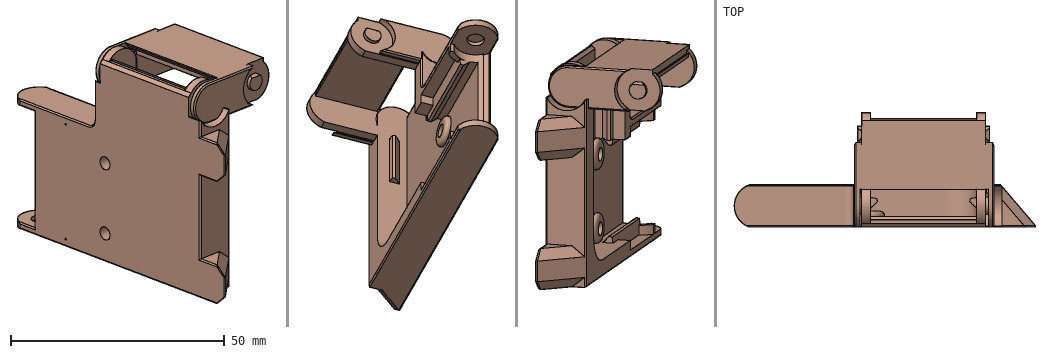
import cadquery as cq
DEPTH = 9.95
HALF = DEPTH / 2
SHEET = 1.7
LINER = 2.1
LINER_GAP = 0.2
PAD = 0.85
PAD_RISE = 0.4
EDGE = 0.35
KNUCKLE_R = 5.2
CLEARANCE_R = KNUCKLE_R + 0.1
PIN_D = 4.1
LINER_START = 3.05
PLATE_START = 3.3
UNDERCUT = 1.1
EDGE_LAND = 0.35

BASE_RIGHT = 62.8
BASE_LENGTH = 70.6
LUG_TOP = 33.05
SHOULDER_Z = 45.0
NECK_LEFT = 28.0
CORNER_R = 2.0
LUG_X = KNUCKLE_R
PIVOT_Z = 47.5
KNUCKLE_LEFT = 29.9
KNUCKLE_RIGHT = 59.0
PLATE_TOP = PIVOT_Z + 3.25
PLATE_BEVEL = 0.85
PAD_BEVEL = 0.8
FLOOR_R = 7.05
LUG_HOLE_DEPTH = 1.05

WEDGE_HEIGHT = 9.9
WEDGE_BOTTOMS = (0.0, 31.1)
WEDGE_TIP = 0.4
WEDGE_BEVEL_Z = 2.5
WEDGE_BEVEL_X = 2.7

SCREW_X = 31.5
SCREW_ZS = (7.2, 25.1)
SCREW_D = 3.25
BOSS_D = 7.5
BOSS_TOP = 3.75
BOSS_ROUND = 1.0
MARK_X = 18.6
MARK_D = 0.35

LINK_LEFT = NECK_LEFT + 0.2
LINK_RIGHT = 60.95
LINK_TIP_Y = 21.7
LINK_OPENING_Y = 8.9
LINK_SHEET = 1.35
LINK_TOP = PIVOT_Z + HALF
LINK_BOTTOM = PIVOT_Z - HALF
STUB_LENGTH = 0.9
STUB_STEP = 0.15
STUB_BEVEL = 0.65

RAIL_HEIGHT = 1.6
RAIL_WIDTH = 2.55
RIM = 1.4
RAIL_CREST = 0.9
RAIL_NOSE = 0.2
RAIL_SHIFT = 0.6

LINER_LEFT = KNUCKLE_LEFT + LINER
LINER_RIGHT = KNUCKLE_RIGHT - LINER
LINER_FLOOR = SHEET + LINER_GAP + LINER
LINER_CEILING = LUG_TOP - LINER_FLOOR
PAD_BACK = SHEET + PAD
PLATE_LEFT = LUG_X + PLATE_START
FAR = 141.25


def block(x0, x1, y0, y1, z0, z1):
    return cq.Workplane("XY").box(x1 - x0, y1 - y0, z1 - z0, centered=False).translate((x0, y0, z0))


def cylinder_x(x0, x1, y, z, radius):
    return cq.Workplane("YZ", origin=(x0, y, z)).circle(radius).extrude(x1 - x0)


def cylinder_z(z0, z1, x, y, radius):
    return cq.Workplane("XY", origin=(x, y, z0)).circle(radius).extrude(z1 - z0)


def base_shell():
    """Solid outline of the base with bevelled outer edges and rounded lug ends."""
    outline = [
        (0, 0), (BASE_RIGHT, 0), (BASE_RIGHT, SHOULDER_Z),
        (NECK_LEFT, SHOULDER_Z), (NECK_LEFT, LUG_TOP), (0, LUG_TOP),
    ]
    body = cq.Workplane("XZ").polyline(outline).close().extrude(-DEPTH)
    corner = cq.selectors.BoxSelector(
        (NECK_LEFT - EDGE, 0, LUG_TOP - EDGE), (NECK_LEFT + EDGE, DEPTH, LUG_TOP + EDGE)
    )
    body = body.edges(corner).fillet(CORNER_R)
    bevelled_rim = cq.selectors.BoxSelector((-EDGE, -EDGE, -EDGE), (FAR, FAR, SHOULDER_Z - EDGE))
    body = body.faces("<Y or >Y").edges(bevelled_rim).chamfer(EDGE)
    lug_end = cylinder_z(0, LUG_TOP, LUG_X, HALF, KNUCKLE_R)
    rest = block(LUG_X, BASE_RIGHT, 0, DEPTH, 0, SHOULDER_Z)
    return body.intersect(lug_end.union(rest))


def base_cavity():
    """Space inside the liner, open at the back, at the left and at the top."""
    lower = block(0, LINER_RIGHT, PAD_BACK, FAR, LINER_FLOOR, LINER_CEILING)
    upper = block(LINER_LEFT, LINER_RIGHT, PAD_BACK, FAR, LINER_FLOOR, FAR)
    floor_corner = cq.selectors.BoxSelector(
        (LINER_RIGHT - EDGE, 0, LINER_FLOOR - EDGE), (LINER_RIGHT + EDGE, FAR, LINER_FLOOR + EDGE)
    )
    return lower.union(upper).edges(floor_corner).edges("|Y").fillet(FLOOR_R)


def base_knuckles():
    """Two rounded cheeks that carry the link, joined by the top of the front plate."""
    plate = block(KNUCKLE_LEFT, KNUCKLE_RIGHT, 0, SHEET, SHOULDER_Z, PLATE_TOP)
    plate = plate.faces("<Y").edges(">Z").chamfer(PLATE_BEVEL)
    pad_top = PLATE_TOP + PAD_RISE
    pad = block(KNUCKLE_LEFT, KNUCKLE_RIGHT, SHEET, PAD_BACK, SHOULDER_Z, pad_top)
    pad = pad.faces(">Y").edges(">Z").chamfer(PAD_BEVEL)
    knuckles = plate.union(pad)
    envelope = block(0, BASE_LENGTH, 0, DEPTH, 0, FAR)
    for x in (KNUCKLE_LEFT, LINER_RIGHT):
        cheek = cylinder_x(x, x + LINER, HALF, PIVOT_Z, KNUCKLE_R).intersect(envelope)
        foot = block(x, x + LINER, 0, DEPTH, SHOULDER_Z, PIVOT_Z)
        knuckles = knuckles.union(cheek).union(foot)
    return knuckles


def wedge(bottom):
    """Triangular block with a slanting rear face whose upper and lower edges are bevelled."""
    top = bottom + WEDGE_HEIGHT
    reach = BASE_LENGTH - BASE_RIGHT
    root = BASE_RIGHT - SHEET
    root_depth = DEPTH - EDGE
    plan = [
        (root, 0), (BASE_LENGTH, 0), (BASE_LENGTH, WEDGE_TIP),
        (BASE_RIGHT, root_depth), (root, root_depth),
    ]
    body = cq.Workplane("XY", origin=(0, 0, bottom)).polyline(plan).close().extrude(WEDGE_HEIGHT)
    body = body.faces("<Y").edges("|X").chamfer(EDGE)
    end = [
        (0, bottom), (BASE_LENGTH - WEDGE_BEVEL_X, bottom), (BASE_LENGTH, bottom + WEDGE_BEVEL_Z),
        (BASE_LENGTH, top - WEDGE_BEVEL_Z), (BASE_LENGTH - WEDGE_BEVEL_X, top), (0, top),
    ]
    tip_profile = cq.Workplane("XZ").polyline(end).close().extrude(-WEDGE_TIP)
    root_end = [(x - reach, z) for x, z in end]
    slanted = (
        cq.Workplane("XZ", origin=(0, WEDGE_TIP, 0)).polyline(end).close()
        .workplane(offset=WEDGE_TIP - root_depth).polyline(root_end).close().loft(ruled=True)
    )
    return body.intersect(tip_profile.union(slanted))


def rail(length):
    """Snap rail along +X, standing on the XY plane with its section centred near Y = 0."""
    heel = RAIL_WIDTH - RAIL_SHIFT
    section = [
        (-RAIL_SHIFT, 0), (heel - RAIL_CREST, RAIL_HEIGHT),
        (heel - RAIL_NOSE, RAIL_HEIGHT - RAIL_NOSE), (heel, 0),
    ]
    return cq.Workplane("YZ").polyline(section).close().extrude(length)


def base_rails():
    """Rails along the liner's floor, its ceiling and both cheeks."""
    start = LUG_X + KNUCKLE_R
    along = rail(LINER_LEFT - start)
    floor = along.translate((start, HALF, LINER_FLOOR))
    ceiling = along.mirror("XY").translate((start, HALF, LINER_CEILING))
    upright = rail(PIVOT_Z - KNUCKLE_R - LINER_CEILING).rotate((0, 0, 0), (0, 1, 0), -90)
    right = upright.translate((LINER_RIGHT, HALF, LINER_CEILING))
    left = upright.mirror("YZ").translate((LINER_LEFT, HALF, LINER_CEILING))
    return floor.union(ceiling).union(left).union(right)


def rear_pockets():
    """Recesses in the liner's floor and ceiling behind the rails, leaving a rim round the lug pivot."""
    rear_of_rail = HALF - RAIL_SHIFT + RAIL_WIDTH
    rim = cylinder_z(0, LUG_TOP, LUG_X, HALF, CLEARANCE_R + RIM)
    pockets = None
    for z0, z1 in ((SHEET, LINER_FLOOR), (LINER_CEILING, LUG_TOP - SHEET)):
        pocket = block(0, NECK_LEFT, rear_of_rail, FAR, z0, z1).cut(rim)
        pockets = pocket if pockets is None else pockets.union(pocket)
    return pockets


def base_segment():
    base = base_shell().union(base_knuckles()).cut(base_cavity())
    base = base.union(base_rails())
    gap_top = LUG_TOP - SHEET
    gap = [
        (0, SHEET - EDGE), (EDGE, SHEET), (DEPTH, SHEET),
        (DEPTH, gap_top), (EDGE, gap_top), (0, gap_top + EDGE),
    ]
    base = base.cut(cq.Workplane("YZ").polyline(gap).close().extrude(PLATE_LEFT))
    land = EDGE_LAND + UNDERCUT
    hollow = cylinder_z(SHEET, gap_top, LUG_X, HALF, CLEARANCE_R)
    base = base.cut(hollow.intersect(block(0, BASE_LENGTH, land, DEPTH, 0, LUG_TOP)))
    undercut = [(PLATE_LEFT, EDGE_LAND), (PLATE_LEFT + UNDERCUT, land), (PLATE_LEFT, land)]
    base = base.cut(
        cq.Workplane("XY", origin=(0, 0, SHEET)).polyline(undercut).close().extrude(gap_top - SHEET)
    )
    base = base.cut(rear_pockets())
    for z in (SHEET - LUG_HOLE_DEPTH, gap_top):
        base = base.cut(cylinder_z(z, z + LUG_HOLE_DEPTH, LUG_X, HALF, PIN_D / 2))
    for x0, x1 in ((0, KNUCKLE_LEFT), (KNUCKLE_RIGHT, BASE_LENGTH)):
        base = base.cut(cylinder_x(x0, x1, HALF, PIVOT_Z, CLEARANCE_R))
    for bottom in WEDGE_BOTTOMS:
        base = base.union(wedge(bottom))
    return base


def with_screw_holes(base):
    for z in SCREW_ZS:
        boss = cq.Workplane("XZ", origin=(SCREW_X, SHEET, z)).circle(BOSS_D / 2).extrude(SHEET - BOSS_TOP)
        base = base.union(boss.faces(">Y").edges().fillet(BOSS_ROUND))
    for z in SCREW_ZS:
        hole = cq.Workplane("XZ", origin=(SCREW_X, 0, z)).circle(SCREW_D / 2).extrude(-BOSS_TOP)
        base = base.cut(hole)
    for z in (SHEET + LINER_GAP, LUG_TOP - SHEET - LINER_GAP):
        mark = cq.Workplane("XZ", origin=(MARK_X, 0, z)).circle(MARK_D / 2).extrude(-SHEET)
        base = base.cut(mark)
    return base


def link_shell():
    """Top plate and two side plates, rounded at the base pivot and hollowed at the tip."""
    end_y = LINK_TIP_Y + LINER_START + EDGE
    body = block(LINK_LEFT, LINK_RIGHT, HALF, end_y, LINK_BOTTOM, LINK_TOP)
    body = body.union(cylinder_x(LINK_LEFT, LINK_RIGHT, HALF, PIVOT_Z, HALF))
    body = body.faces("<X or >X").edges("not >Y").chamfer(EDGE)
    inner_left = LINK_LEFT + LINK_SHEET
    inner_right = LINK_RIGHT - LINK_SHEET
    body = body.cut(block(inner_left, inner_right, -DEPTH, FAR, 0, LINK_TOP - SHEET))
    body = body.cut(block(inner_left, inner_right, -DEPTH, LINK_OPENING_Y, 0, FAR))
    undercut_end = LINK_TOP - EDGE_LAND - UNDERCUT
    undercut = [
        (LINK_OPENING_Y, LINK_TOP - EDGE_LAND), (LINK_OPENING_Y + UNDERCUT, undercut_end),
        (LINK_OPENING_Y + UNDERCUT, LINK_BOTTOM), (LINK_OPENING_Y, LINK_BOTTOM),
    ]
    body = body.cut(
        cq.Workplane("YZ", origin=(inner_left, 0, 0)).polyline(undercut).close().extrude(inner_right - inner_left)
    )
    for x0, x1 in ((0, KNUCKLE_LEFT), (KNUCKLE_RIGHT, BASE_LENGTH)):
        body = body.cut(cylinder_x(x0, x1, LINK_TIP_Y, PIVOT_Z, CLEARANCE_R))
        body = body.cut(block(x0, x1, LINK_TIP_Y, FAR, 0, FAR))
    return body


def link_liner():
    """Inner cheeks with round tips, joined by a pad under the top plate."""
    start = HALF + LINER_START
    pad_top = LINK_TOP - SHEET
    pad_end = LINK_TIP_Y + LINER_START + EDGE + PAD_RISE
    pad_start = LINK_OPENING_Y + UNDERCUT
    liner = block(KNUCKLE_LEFT, KNUCKLE_RIGHT, pad_start, pad_end, pad_top - PAD, pad_top)
    envelope = block(0, BASE_LENGTH, start, FAR, LINK_BOTTOM, LINK_TOP)
    for x in (KNUCKLE_LEFT, LINER_RIGHT):
        cheek = cylinder_x(x, x + LINER, LINK_TIP_Y, PIVOT_Z, KNUCKLE_R)
        arm = block(x, x + LINER, start, LINK_TIP_Y, LINK_BOTTOM, pad_top)
        liner = liner.union(cheek.union(arm).intersect(envelope))
    for x0, x1 in ((LINK_LEFT + EDGE, KNUCKLE_LEFT), (KNUCKLE_RIGHT, LINK_RIGHT - EDGE)):
        web = block(x0, x1, start, LINK_TIP_Y, LINK_BOTTOM + EDGE, pad_top)
        liner = liner.union(web.cut(cylinder_x(x0, x1, LINK_TIP_Y, PIVOT_Z, CLEARANCE_R)))
    room = cylinder_x(KNUCKLE_LEFT - LINER_GAP, KNUCKLE_RIGHT + LINER_GAP, HALF, PIVOT_Z, CLEARANCE_R)
    return liner.cut(room)


def tip_stub(outward):
    """Pin at the link's tip, with a ramp on its upper side; outward is -1 or 1."""
    radius = PIN_D / 2
    stub = cq.Workplane("YZ").circle(radius).extrude(STUB_LENGTH)
    ramp = (
        cq.Workplane("XZ", origin=(0, FAR / 2, 0))
        .polyline([(0, radius - STUB_STEP), (STUB_LENGTH, radius - STUB_BEVEL), (STUB_LENGTH, PIN_D), (0, PIN_D)])
        .close().extrude(FAR)
    )
    stub = stub.cut(ramp)
    if outward < 0:
        return stub.mirror("YZ").translate((KNUCKLE_LEFT, LINK_TIP_Y, PIVOT_Z))
    return stub.translate((KNUCKLE_RIGHT, LINK_TIP_Y, PIVOT_Z))


def hinge_pins():
    """Pins that carry the link on the base's cheeks."""
    left = cylinder_x(LINK_LEFT + EDGE, KNUCKLE_LEFT + EDGE, HALF, PIVOT_Z, PIN_D / 2)
    right = cylinder_x(KNUCKLE_RIGHT - EDGE, LINK_RIGHT - EDGE, HALF, PIVOT_Z, PIN_D / 2)
    return left.union(right)


base = with_screw_holes(base_segment())
link = link_shell().union(link_liner()).union(tip_stub(-1)).union(tip_stub(1))
result = base.union(link).union(hinge_pins())